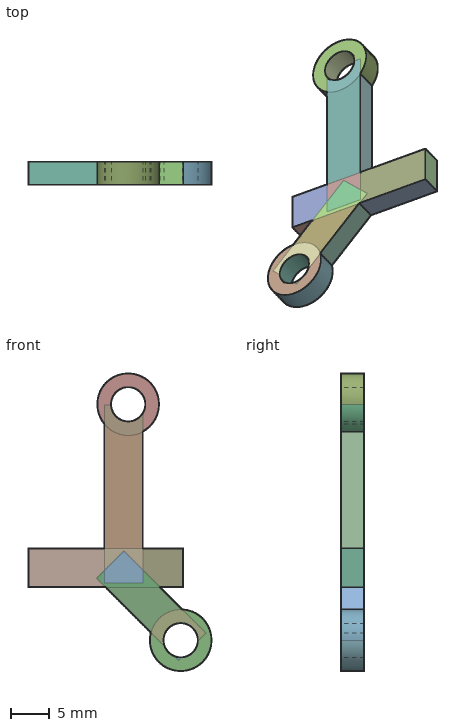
import cadquery as cq
import math

thickness = 3.0
bar_width = 5.0

cross_bar_length = 20.0

upright_length = 23.0
upright_slope = 90.0
upright_centre_x = 2.3
upright_bottom_z = -1.95

strut_length = 15.0
strut_slope = -45.0
strut_start = (0.55, 0.43)

eye_diameter = 8.0
eye_hole_diameter = 4.4
eye_height_span = 30.5
lower_eye_centre = (9.69, -9.37)
upper_eye_centre = (2.9, lower_eye_centre[1] + eye_height_span)


def flat_bar(centre, length, slope=0.0):
    """Rectangular bar whose length makes the angle `slope` with +X, in degrees."""
    x, z = centre
    return (
        cq.Workplane("XY")
        .box(length, thickness, bar_width)
        .rotate((0, 0, 0), (0, 1, 0), -slope)
        .translate((x, 0, z))
    )


def eye_cylinder(centre, diameter):
    """Cylinder along Y, as thick as the bracket."""
    x, z = centre
    return (
        cq.Workplane("XZ")
        .workplane(offset=-thickness / 2)
        .center(x, z)
        .circle(diameter / 2)
        .extrude(thickness)
    )


def make_strut():
    """Slanted bar laid out from the middle of its upper end."""
    angle = math.radians(strut_slope)
    x = strut_start[0] + strut_length / 2 * math.cos(angle)
    z = strut_start[1] + strut_length / 2 * math.sin(angle)
    return flat_bar((x, z), strut_length, strut_slope)


cross_bar = flat_bar((0, 0), cross_bar_length)
upright_centre = (upright_centre_x, upright_bottom_z + upright_length / 2)
upright = flat_bar(upright_centre, upright_length, upright_slope)

result = cross_bar.union(upright, clean=False).union(make_strut(), clean=False)

eye_centres = (upper_eye_centre, lower_eye_centre)
for eye_centre in eye_centres:
    result = result.union(eye_cylinder(eye_centre, eye_diameter), clean=False)

for eye_centre in eye_centres:
    result = result.cut(eye_cylinder(eye_centre, eye_hole_diameter), clean=False)